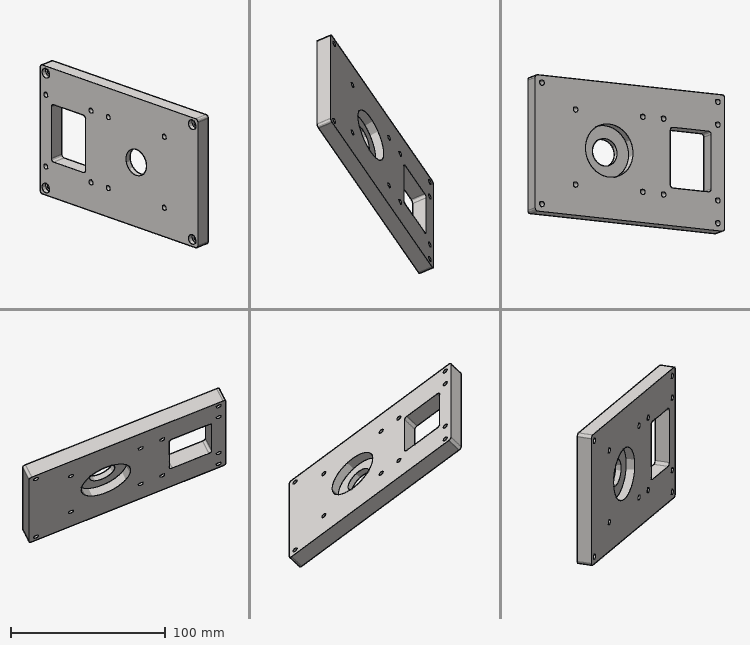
import cadquery as cq
import math

length = 139.5
thickness = 10.0
height = 90.0
corner_radius = 2.0

screw_diameter = 3.4
corner_hole_inset = 5.0
head_diameter = 6.5
head_depth = 3.4

window_width = 30.0
window_height = 40.0
window_corner_radius = 2.0
window_screw_spacing_x = 40.0
window_screw_spacing_z = 50.0
window_x = -length / 2 + corner_hole_inset + window_screw_spacing_x / 2

window_to_opening = 60.0
opening_x = window_x + window_to_opening
opening_diameter = 18.0
recess_diameter = 35.0
opening_lip = 4.0
bolt_circle_diameter = 70.0

front_y = -thickness / 2
back_y = thickness / 2


def rounded_block(width, block_height, radius, center_x=0.0):
    """Block through the full thickness with its four Y edges rounded."""
    block = cq.Workplane("XY").box(width, thickness, block_height)
    return block.edges("|Y").fillet(radius).translate((center_x, 0, 0))


def cylinders(diameter, start_y, end_y, centers):
    """Cylinders along Y, from start_y to end_y, at the given (x, z) centers."""
    plane = cq.Workplane("XZ", origin=(0, end_y, 0))
    return plane.pushPoints(centers).circle(diameter / 2).extrude(end_y - start_y)


def rectangle_corners(center_x, spacing_x, spacing_z):
    """Four (x, z) corners of a rectangle centred at mid height."""
    return [
        (center_x + side_x * spacing_x / 2, side_z * spacing_z / 2)
        for side_x in (-1, 1)
        for side_z in (-1, 1)
    ]


corner_centers = rectangle_corners(0, length - 2 * corner_hole_inset, height - 2 * corner_hole_inset)
window_centers = rectangle_corners(window_x, window_screw_spacing_x, window_screw_spacing_z)
bolt_spacing = bolt_circle_diameter / math.sqrt(2)
bolt_centers = rectangle_corners(opening_x, bolt_spacing, bolt_spacing)
opening_center = [(opening_x, 0)]

plate = rounded_block(length, height, corner_radius)

plate = plate.cut(rounded_block(window_width, window_height, window_corner_radius, window_x))

plate = plate.cut(cylinders(opening_diameter, front_y, back_y, opening_center))
plate = plate.cut(cylinders(recess_diameter, front_y + opening_lip, back_y, opening_center))

screw_centers = corner_centers + window_centers + bolt_centers
plate = plate.cut(cylinders(screw_diameter, front_y, back_y, screw_centers))
plate = plate.cut(cylinders(head_diameter, front_y, front_y + head_depth, corner_centers))

result = plate